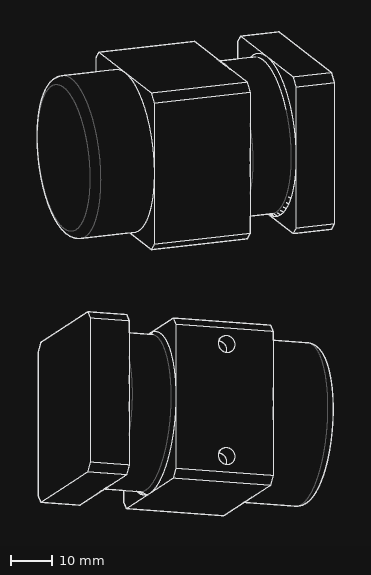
import cadquery as cq
import math

side = 40.0
length = 63.0
corner_chamfer = 2.0
plate_thickness = 10.0
block_length = 25.0
cap_length = 16.0
cap_fillet = 2.0
neck_diameter = 38.5
flare_length = 1.0

hole_diameter = 4.2
hole_depth = 6.3
hole_spacing = 28.0
hole_setback = 12.0
drill_tip_angle = 118.0

front_y = -length / 2
block_front_y = front_y + cap_length
block_back_y = block_front_y + block_length
plate_front_y = length / 2 - plate_thickness


def square_block(start_y, thickness):
    """Square body with its four long edges chamfered."""
    return (
        cq.Workplane("XY")
        .box(side, thickness, side)
        .edges("|Y")
        .chamfer(corner_chamfer)
        .translate((0, start_y + thickness / 2, 0))
    )


def rounded_cap():
    """Full-width cylinder with a rounded front rim."""
    return (
        cq.Workplane("XZ", origin=(0, block_front_y, 0))
        .circle(side / 2)
        .extrude(cap_length)
        .faces("<Y")
        .edges()
        .fillet(cap_fillet)
    )


def flared_neck():
    """Round neck that widens in a concave arc where it meets each square body."""
    neck_radius = neck_diameter / 2
    flare_radius = side / 2
    rise = flare_radius - neck_radius
    arc_radius = (flare_length**2 + rise**2) / (2 * rise)
    half_angle = math.asin(flare_length / arc_radius) / 2
    mid_y = arc_radius * math.sin(half_angle)
    mid_rise = arc_radius * (1 - math.cos(half_angle))
    straight_start = block_back_y + flare_length
    straight_end = plate_front_y - flare_length
    return (
        cq.Workplane("XY")
        .moveTo(0, block_back_y)
        .lineTo(flare_radius, block_back_y)
        .threePointArc((neck_radius + mid_rise, straight_start - mid_y), (neck_radius, straight_start))
        .lineTo(neck_radius, straight_end)
        .threePointArc((neck_radius + mid_rise, straight_end + mid_y), (flare_radius, plate_front_y))
        .lineTo(0, plate_front_y)
        .close()
        .revolve(360, (0, 0, 0), (0, 1, 0))
    )


def drilled_hole(z):
    """Blind hole in the -X side with a conical drill tip."""
    radius = hole_diameter / 2
    tip_length = radius / math.tan(math.radians(drill_tip_angle / 2))
    return (
        cq.Workplane("XY")
        .polyline([(0, 0), (0, radius), (hole_depth, radius), (hole_depth + tip_length, 0)])
        .close()
        .revolve(360, (0, 0, 0), (1, 0, 0))
        .translate((-side / 2, block_front_y + hole_setback, z))
    )


result = (
    square_block(block_front_y, block_length)
    .union(rounded_cap())
    .union(flared_neck())
    .union(square_block(plate_front_y, plate_thickness))
)
for z in (-hole_spacing / 2, hole_spacing / 2):
    result = result.cut(drilled_hole(z))